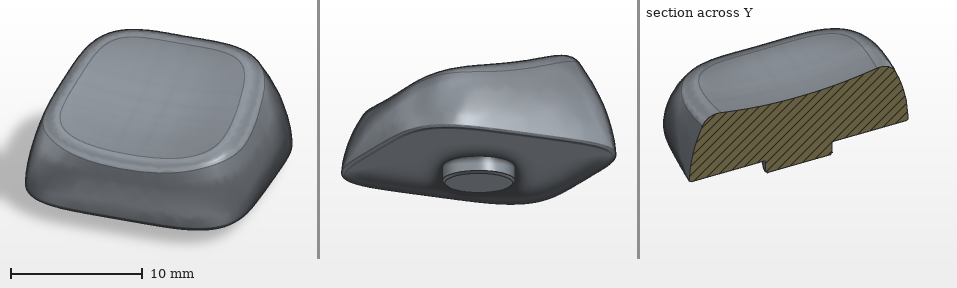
import cadquery as cq
import math

body_size = 17.99
body_bottom = 1.31
skirt_round = 0.23

stem_diameter = 5.5
stem_chamfer = 0.18
stem_overlap = 0.18

side_curvature = 0.03446
back_curvature = 0.03835
front_curvature = 0.06559

skirt_exponent = 4.4
top_exponent = 2.9

blank_height = 9.35
section_count = 5
points_per_section = 32

dish_y = -0.88
dish_z = 6.84
dish_tilt = 14.3
dish_width_radius = 31.48
dish_length_radius = 29.68
dish_half_length = 16.19
rim_round = 1.3


def body_section(height):
    """Closed horizontal outline of the body at a height above the skirt."""
    half_x = body_size / 2 - side_curvature * height**2
    back = body_size / 2 - back_curvature * height**2
    front = -body_size / 2 + front_curvature * height**2
    centre_y = (back + front) / 2
    half_y = (back - front) / 2
    exponent = skirt_exponent + (top_exponent - skirt_exponent) * height / blank_height
    points = []
    for i in range(points_per_section):
        direction = 2 * math.pi * i / points_per_section
        c = math.cos(direction)
        s = math.sin(direction)
        reach = (abs(c) ** exponent + abs(s) ** exponent) ** (-1 / exponent)
        x = half_x * reach * c
        y = centre_y + half_y * reach * s
        points.append(cq.Vector(x, y, body_bottom + height))
    return cq.Wire.assembleEdges([cq.Edge.makeSpline(points, periodic=True)])


def make_blank():
    heights = [blank_height * i / (section_count - 1) for i in range(section_count)]
    return cq.Workplane(cq.Solid.makeLoft([body_section(h) for h in heights]))


def make_dish_cutter():
    """Barrel whose lowest point touches the origin, tilted and moved into place."""
    end_rise = dish_length_radius - math.sqrt(dish_length_radius**2 - dish_half_length**2)
    barrel = (
        cq.Workplane("YZ")
        .moveTo(-dish_half_length, dish_width_radius)
        .lineTo(-dish_half_length, end_rise)
        .threePointArc((0, 0), (dish_half_length, end_rise))
        .lineTo(dish_half_length, dish_width_radius)
        .close()
        .revolve(360, (0, dish_width_radius), (1, dish_width_radius))
    )
    return barrel.rotate((0, 0, 0), (1, 0, 0), dish_tilt).translate((0, dish_y, dish_z))


def make_stem():
    return (
        cq.Workplane("XY")
        .circle(stem_diameter / 2)
        .extrude(body_bottom + stem_overlap)
        .faces("<Z")
        .chamfer(stem_chamfer)
    )


body = make_blank().cut(make_dish_cutter())
body = body.edges(">Z").fillet(rim_round)
body = body.faces("<Z").edges().fillet(skirt_round)
result = body.union(make_stem())